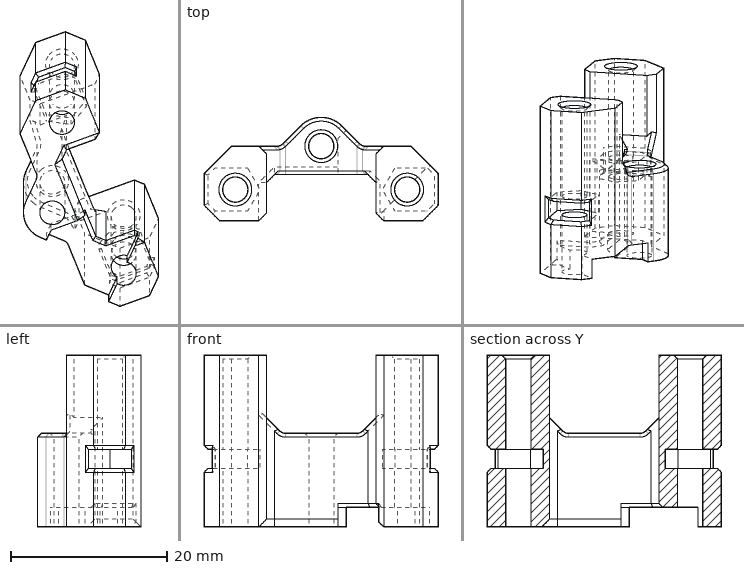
import cadquery as cq
import math

OVERALL_WIDTH = 30.0
OVERALL_DEPTH = 13.26
HEIGHT = 22.0
EDGE_CHAMFER = 0.5
CLEARANCE = 1.0

PILLAR_WIDTH = 8.0
PILLAR_DEPTH = 9.56
FRONT_OUTER_CHAMFER = 2.0
BACK_OUTER_CHAMFER = 3.5
INNER_CHAMFER = 1.0
OUTER_X = OVERALL_WIDTH / 2
INNER_X = OUTER_X - PILLAR_WIDTH

HOLE_DIAMETER = 3.2
PILLAR_HOLE_X = OUTER_X - PILLAR_WIDTH / 2
PILLAR_HOLE_Y = PILLAR_WIDTH / 2

BRIDGE_TOP_Z = 12.0
BRIDGE_FRONT_Y = 5.9
GUSSET_LEG = 1.0
RAMP_RISE = 2.0
RAMP_FILLET = 1.0
BRIDGE_END_X = INNER_X + INNER_CHAMFER
FLAT_END_X = INNER_X - RAMP_RISE

BOSS_Y = PILLAR_DEPTH
BOSS_RADIUS = OVERALL_DEPTH - BOSS_Y
BOSS_FLANK_SUM = BOSS_Y + BOSS_RADIUS * math.sqrt(2)
BOSS_FOOT_FILLET = 1.0

NUT_FLATS = 5.5
NUT_SLOT_Z = 7.5
NUT_SLOT_HEIGHT = 2.45

BOTTOM_CHAMFER = 1.0
NOTCH_LEFT_X = 2.15
NOTCH_EXIT_X = 3.2
NOTCH_LIP_X = 7.35
NOTCH_HEIGHT = 2.5


def mirrored(shape):
    """Return the shape together with its mirror image across the YZ plane."""
    return shape.union(shape.mirror("YZ"))


def pillar():
    """Right-hand pillar, an octagonal prism."""
    return (
        cq.Workplane("XY")
        .moveTo(INNER_X + INNER_CHAMFER, 0)
        .lineTo(OUTER_X - FRONT_OUTER_CHAMFER, 0)
        .lineTo(OUTER_X, FRONT_OUTER_CHAMFER)
        .lineTo(OUTER_X, PILLAR_DEPTH - BACK_OUTER_CHAMFER)
        .lineTo(OUTER_X - BACK_OUTER_CHAMFER, PILLAR_DEPTH)
        .lineTo(INNER_X + INNER_CHAMFER, PILLAR_DEPTH)
        .lineTo(INNER_X, PILLAR_DEPTH - INNER_CHAMFER)
        .lineTo(INNER_X, INNER_CHAMFER)
        .close()
        .extrude(HEIGHT)
    )


def bridge_plan():
    """Bridge outline in XY: straight front, gussets at the ends, boss at the back."""
    tangent = BOSS_RADIUS * math.sqrt(0.5)
    foot_x = BOSS_FLANK_SUM - PILLAR_DEPTH
    gusset_x = INNER_X - GUSSET_LEG
    end_front_y = BRIDGE_FRONT_Y - (BRIDGE_END_X - gusset_x)
    plan = (
        cq.Workplane("XY")
        .moveTo(-gusset_x, BRIDGE_FRONT_Y)
        .lineTo(gusset_x, BRIDGE_FRONT_Y)
        .lineTo(BRIDGE_END_X, end_front_y)
        .lineTo(BRIDGE_END_X, PILLAR_DEPTH)
        .lineTo(foot_x, PILLAR_DEPTH)
        .lineTo(tangent, BOSS_Y + tangent)
        .threePointArc((0, OVERALL_DEPTH), (-tangent, BOSS_Y + tangent))
        .lineTo(-foot_x, PILLAR_DEPTH)
        .lineTo(-BRIDGE_END_X, PILLAR_DEPTH)
        .lineTo(-BRIDGE_END_X, end_front_y)
        .close()
        .extrude(HEIGHT)
    )
    left_foot = cq.selectors.NearestToPointSelector((-foot_x, PILLAR_DEPTH, HEIGHT / 2))
    right_foot = cq.selectors.NearestToPointSelector((foot_x, PILLAR_DEPTH, HEIGHT / 2))
    return plan.edges(left_foot + right_foot).fillet(BOSS_FOOT_FILLET)


def bridge():
    """Bridge with a flat top that ramps up at 45 degrees to the pillars."""
    end_z = BRIDGE_TOP_Z + BRIDGE_END_X - FLAT_END_X
    back_y = OVERALL_DEPTH + CLEARANCE
    side_profile = (
        cq.Workplane("XZ")
        .moveTo(-BRIDGE_END_X, 0)
        .lineTo(BRIDGE_END_X, 0)
        .lineTo(BRIDGE_END_X, end_z)
        .lineTo(FLAT_END_X, BRIDGE_TOP_Z)
        .lineTo(-FLAT_END_X, BRIDGE_TOP_Z)
        .lineTo(-BRIDGE_END_X, end_z)
        .close()
        .extrude(-back_y)
    )
    ramp_feet = cq.selectors.BoxSelector(
        (-INNER_X, -CLEARANCE, BRIDGE_TOP_Z - CLEARANCE),
        (INNER_X, back_y + CLEARANCE, BRIDGE_TOP_Z + CLEARANCE),
    )
    side_profile = side_profile.edges("|Y").edges(ramp_feet).fillet(RAMP_FILLET)
    body = bridge_plan().intersect(side_profile)
    top_front = cq.selectors.NearestToPointSelector((0, BRIDGE_FRONT_Y, BRIDGE_TOP_Z))
    top_back = cq.selectors.NearestToPointSelector((0, OVERALL_DEPTH, BRIDGE_TOP_Z))
    return body.edges(top_front + top_back).chamfer(EDGE_CHAMFER)


def screw_hole(x, y, top_z):
    """Through hole along Z with a countersunk upper rim."""
    radius = HOLE_DIAMETER / 2
    bore = cq.Workplane("XY").center(x, y).circle(radius).extrude(top_z)
    rim = cq.Solid.makeCone(
        radius, radius + EDGE_CHAMFER, EDGE_CHAMFER, pnt=cq.Vector(x, y, top_z - EDGE_CHAMFER)
    )
    return bore.union(cq.Workplane(rim))


def loft_between(lower_points, upper_points):
    """Ruled solid between two polygons with matching corners."""
    lower = cq.Wire.makePolygon(lower_points, close=True)
    upper = cq.Wire.makePolygon(upper_points, close=True)
    return cq.Workplane(cq.Solid.makeLoft([lower, upper], True))


def slot_mouth_outline(z, depth):
    """Flared slot mouth in plan, reaching a given depth below the pillar's outer faces.

    Its two ends run square to the slanted pillar faces and meet the slot walls at the
    full chamfer depth.
    """
    diagonal = math.sqrt(0.5)
    bend = depth * math.tan(math.pi / 8)
    front_y = PILLAR_HOLE_Y - NUT_FLATS / 2
    back_y = PILLAR_HOLE_Y + NUT_FLATS / 2
    front_bend_y = FRONT_OUTER_CHAMFER
    back_bend_y = PILLAR_DEPTH - BACK_OUTER_CHAMFER
    front_x = OUTER_X - (front_bend_y - front_y) - EDGE_CHAMFER / diagonal
    back_x = OUTER_X - (back_y - back_bend_y) - EDGE_CHAMFER / diagonal
    rise = (EDGE_CHAMFER - depth) * diagonal
    outside = rise + CLEARANCE
    points = [
        (front_x + rise, front_y - rise),
        (front_x + outside, front_y - outside),
        (OUTER_X + CLEARANCE, front_y - outside),
        (OUTER_X + CLEARANCE, back_y + outside),
        (back_x + outside, back_y + outside),
        (back_x + rise, back_y + rise),
        (OUTER_X - depth, back_bend_y - bend),
        (OUTER_X - depth, front_bend_y + bend),
    ]
    return [cq.Vector(x, y, z) for x, y in points]


def nut_slot():
    """Hexagon-ended nut slot from the outer side of the right pillar, mouth chamfered."""
    corner_reach = NUT_FLATS / math.sqrt(3)
    half = NUT_FLATS / 2
    slot = (
        cq.Workplane("XY", origin=(PILLAR_HOLE_X, PILLAR_HOLE_Y, NUT_SLOT_Z))
        .moveTo(-corner_reach, 0)
        .lineTo(-corner_reach / 2, -half)
        .lineTo(PILLAR_WIDTH, -half)
        .lineTo(PILLAR_WIDTH, half)
        .lineTo(-corner_reach / 2, half)
        .close()
        .extrude(NUT_SLOT_HEIGHT)
    )
    top_z = NUT_SLOT_Z + NUT_SLOT_HEIGHT
    deep_bottom = slot_mouth_outline(NUT_SLOT_Z, EDGE_CHAMFER)
    deep_top = slot_mouth_outline(top_z, EDGE_CHAMFER)
    lower_flare = loft_between(slot_mouth_outline(NUT_SLOT_Z - EDGE_CHAMFER, 0), deep_bottom)
    upper_flare = loft_between(deep_top, slot_mouth_outline(top_z + EDGE_CHAMFER, 0))
    return slot.union(loft_between(deep_bottom, deep_top)).union(lower_flare).union(upper_flare)


def mirrored_outline(right_half, z):
    """Closed outline at height z from its right half, listed front to back."""
    left_half = [(-x, y) for x, y in reversed(right_half)]
    return [cq.Vector(x, y, z) for x, y in right_half + left_half]


def channel_outline(z, growth):
    """Open channel between the pillars in plan; each wall moves out, the corner lines do not."""
    right_half = [
        (INNER_X + growth, -CLEARANCE),
        (INNER_X + growth, BRIDGE_FRONT_Y - GUSSET_LEG),
        (INNER_X - GUSSET_LEG, BRIDGE_FRONT_Y + growth),
    ]
    return mirrored_outline(right_half, z)


def notch_rim_outline(z, offset):
    """Channel in plan including the slanted pillar faces, with every wall offset equally."""
    bend = offset * math.tan(math.pi / 8)
    slant_reach = CLEARANCE + offset * math.sqrt(2)
    right_half = [
        (INNER_X + INNER_CHAMFER + slant_reach, -CLEARANCE),
        (INNER_X + offset, INNER_CHAMFER + bend),
        (INNER_X + offset, BRIDGE_FRONT_Y - GUSSET_LEG + bend),
        (INNER_X - GUSSET_LEG + bend, BRIDGE_FRONT_Y + offset),
    ]
    return mirrored_outline(right_half, z)


def notch_column(height):
    """Plan shape of the underside notch, extruded from the bottom of the part.

    It takes in the bridge and boss right of the middle hole, and the part of the
    right pillar behind a 45 degree wall.
    """
    back_y = OVERALL_DEPTH + CLEARANCE
    exit_y = BOSS_FLANK_SUM - NOTCH_EXIT_X
    turn_y = exit_y - (NOTCH_EXIT_X - NOTCH_LEFT_X)
    lip_y = INNER_X + INNER_CHAMFER - NOTCH_LIP_X
    right_wall_x = NOTCH_LIP_X - lip_y
    return (
        cq.Workplane("XY")
        .moveTo(NOTCH_LEFT_X, -CLEARANCE)
        .lineTo(right_wall_x - CLEARANCE, -CLEARANCE)
        .lineTo(right_wall_x + back_y, back_y)
        .lineTo(NOTCH_LEFT_X + back_y - turn_y, back_y)
        .lineTo(NOTCH_LEFT_X, turn_y)
        .close()
        .extrude(height)
    )


def bottom_notch():
    """Underside notch with a chamfer along the upper edge of its front opening."""
    rim = loft_between(
        notch_rim_outline(NOTCH_HEIGHT, EDGE_CHAMFER),
        notch_rim_outline(NOTCH_HEIGHT + EDGE_CHAMFER, 0),
    )
    chamfer = notch_column(NOTCH_HEIGHT + EDGE_CHAMFER).intersect(rim)
    return notch_column(NOTCH_HEIGHT).union(chamfer)


def bottom_edge_chamfer():
    """Cutter for the chamfer along the bottom edges of the channel walls."""
    return loft_between(channel_outline(0, BOTTOM_CHAMFER), channel_outline(BOTTOM_CHAMFER, 0))


result = bridge().union(mirrored(pillar()))
result = result.cut(mirrored(nut_slot()))
result = result.cut(mirrored(screw_hole(PILLAR_HOLE_X, PILLAR_HOLE_Y, HEIGHT)))
result = result.cut(screw_hole(0, BOSS_Y, BRIDGE_TOP_Z))
result = result.cut(bottom_edge_chamfer())
result = result.cut(bottom_notch())